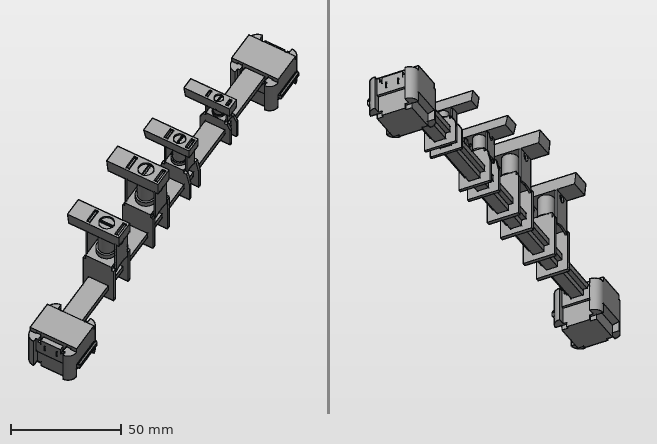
import cadquery as cq

overall_length = 204.29
bar_head_width = 10.4
bar_stem_width = 5.7
bar_bottom = 14.15
bar_mid = 17.2
bar_top = 20.3

foot_half = 12.25
lid_half_depth = 7.7
pillar_radius = foot_half - lid_half_depth
lid_top = 22.8
upper_panel_half = 10.15
lower_panel_half = 8.9
upper_panel_bottom = 11.1
pillar_bottom = 2.5
base_rib_half_width = 5.85
side_recess_bottom = 6.8
side_recess_top = 7.8
foot_y = overall_length / 2 - foot_half

latch_reach = 14.0
latch_lip = 13.25
latch_nose = 13.5
latch_bottom = 9.2
latch_bevel_top = 9.9
latch_shelf = 11.4
latch_shoulder = 11.8
latch_top = 12.6

bar_slot_half_width = 6.5
bar_slot_bottom = 18.3
stem_gap = 0.5
head_gap = 0.2
gap_depth = upper_panel_half - lid_half_depth
lid_notch_inner = 6.8
lid_notch_outer = 9.1
lid_notch_height = 0.6
lid_notch_depth = 1.0

frame_half_width = 8.0
frame_bottom = 11.0
cap_slot_depth = 3.0
strap_end_drop = 0.8
recess_depth = 1.0
driver_slot_depth = 1.0
screw_clearance = 0.4

small_clamp = dict(
    y=50.0, cap_width=6.15, cap_left=-16.6, cap_right=7.4, cap_slant=0.8, cap_bottom=31.3, cap_top=36.8,
    strap_width=4.3, strap_outer=5.75, strap_thickness=0.75, strap_bottom=23.9, arch_rise=0.9,
    slot_inner=4.6, slot_outer=5.85, slot_length=3.7, window_radius=0, window_drop=0,
    frame_depth=6.8, plate=1.25, frame_top=26.4, frame_neck=4.9, shoulder=(6.3, 24.9), slope_bottom=21.6,
    recess_radius=2.15, driver_slot=0.6, driver_angle=90, flange_radius=3.0, flange_height=1.2,
)
medium_clamp = dict(
    y=15.0, cap_width=8.0, cap_left=-16.6, cap_right=7.4, cap_slant=1.2, cap_bottom=40.5, cap_top=45.4,
    strap_width=6.8, strap_outer=5.9, strap_thickness=0.8, strap_bottom=27.0, arch_rise=1.5,
    slot_inner=4.6, slot_outer=6.5, slot_length=5.5, window_radius=1.55, window_drop=0.9,
    frame_depth=9.85, plate=1.5, frame_top=30.6, frame_neck=5.0, shoulder=(6.5, 28.8), slope_bottom=22.3,
    recess_radius=2.8, driver_slot=0.8, driver_angle=90, flange_radius=3.9, flange_height=1.8,
)
large_clamp = dict(
    y=-15.0, cap_width=9.85, cap_left=-17.8, cap_right=9.25, cap_slant=0.7, cap_bottom=49.1, cap_top=56.05,
    strap_width=9.85, strap_outer=8.0, strap_thickness=0.9, strap_bottom=30.6, arch_rise=1.3,
    slot_inner=6.5, slot_outer=8.3, slot_length=7.4, window_radius=1.85, window_drop=1.8,
    frame_depth=14.8, plate=1.85, frame_top=34.9, frame_neck=6.8, shoulder=(7.5, 33.1), slope_bottom=32.2,
    recess_radius=3.6, driver_slot=1.2, driver_angle=90, flange_radius=4.9, flange_height=2.6,
)
fixed_clamp = dict(
    large_clamp, y=-50.0, cap_top=55.3, strap_bottom=30.0, arch_rise=1.5,
    shoulder=(frame_half_width, 32.5), slope_bottom=32.5, driver_angle=0, window_drop=2.1,
)


def box(x_range, y_range, z_range):
    """Axis-aligned block between the given limits."""
    return (
        cq.Workplane("XY")
        .box(x_range[1] - x_range[0], y_range[1] - y_range[0], z_range[1] - z_range[0], centered=False)
        .translate((x_range[0], y_range[0], z_range[0]))
    )


def block(half_x, half_y, z_range):
    """Block centred on the Z axis."""
    return box((-half_x, half_x), (-half_y, half_y), z_range)


def extrude_along_y(outline, half_length):
    """Closed XZ outline extruded evenly to both sides of Y = 0."""
    return cq.Workplane("XZ").polyline(outline).close().extrude(half_length, both=True)


def bar_profile(half_length):
    """T-shaped busbar: a wide head over a narrower stem."""
    head = block(bar_head_width / 2, half_length, (bar_mid, bar_top))
    stem = block(bar_stem_width / 2, half_length, (bar_bottom, bar_mid))
    return head.union(stem)


def foot_core():
    core = block(foot_half, lid_half_depth, (side_recess_top, lid_top))
    slope = extrude_along_y(
        [
            (-lower_panel_half, side_recess_bottom),
            (lower_panel_half, side_recess_bottom),
            (foot_half, side_recess_top),
            (-foot_half, side_recess_top),
        ],
        lid_half_depth,
    )
    base = block(lower_panel_half, lid_half_depth, (0, side_recess_bottom))
    base_rib = block(base_rib_half_width, lower_panel_half, (0, pillar_bottom))
    lower_panel = block(lid_half_depth, lower_panel_half, (pillar_bottom, upper_panel_bottom))
    upper_panel = block(lid_half_depth, upper_panel_half, (upper_panel_bottom, bar_top))
    return core.union(slope).union(base).union(base_rib).union(lower_panel).union(upper_panel)


def corner_pillar(side_x, side_y):
    """Quarter-round pillar outside one corner of the foot."""
    quarter = (
        cq.Workplane("XY")
        .workplane(offset=pillar_bottom)
        .circle(pillar_radius)
        .extrude(bar_top - pillar_bottom)
        .intersect(box((0, pillar_radius), (0, pillar_radius), (pillar_bottom, bar_top)))
    )
    if side_x < 0:
        quarter = quarter.mirror("YZ")
    if side_y < 0:
        quarter = quarter.mirror("XZ")
    return quarter.translate((side_x * lid_half_depth, side_y * lid_half_depth, 0))


def latch():
    """Upturned hook along the +X side."""
    return extrude_along_y(
        [
            (foot_half, latch_bottom),
            (latch_nose, latch_bottom),
            (latch_reach, latch_bevel_top),
            (latch_reach, latch_shoulder),
            (latch_lip, latch_top),
            (latch_lip, latch_shelf),
            (foot_half, latch_shelf),
        ],
        lid_half_depth,
    )


def bar_entry_cuts(side_x, side_y):
    """Slots beside the bar in one end panel, and the small notch under the lid edge."""
    head_edge = bar_head_width / 2
    stem_edge = bar_stem_width / 2
    panel = (upper_panel_half - gap_depth, upper_panel_half)
    lid_edge = (lid_half_depth - lid_notch_depth, lid_half_depth)
    cuts = (
        box((head_edge, bar_slot_half_width), panel, (bar_slot_bottom, bar_top))
        .union(box((head_edge, head_edge + head_gap), panel, (bar_mid, bar_slot_bottom)))
        .union(box((stem_edge, stem_edge + stem_gap), panel, (bar_bottom, bar_mid)))
        .union(box((lid_notch_inner, lid_notch_outer), lid_edge, (bar_top, bar_top + lid_notch_height)))
    )
    if side_x < 0:
        cuts = cuts.mirror("YZ")
    if side_y < 0:
        cuts = cuts.mirror("XZ")
    return cuts


def make_foot():
    foot = foot_core().union(latch())
    for side_x in (-1, 1):
        for side_y in (-1, 1):
            foot = foot.union(corner_pillar(side_x, side_y))
            foot = foot.cut(bar_entry_cuts(side_x, side_y))
    return foot


def clamp_frame(c):
    """Inverted U of two plates around the bar, joined by a web at the top."""
    shoulder_x, shoulder_z = c["shoulder"]
    right_edge = [(frame_half_width, frame_bottom), (frame_half_width, c["slope_bottom"])]
    if shoulder_z > c["slope_bottom"]:
        right_edge.append((shoulder_x, shoulder_z))
    right_edge += [(c["frame_neck"], shoulder_z), (c["frame_neck"], c["frame_top"])]
    left_edge = [(-x, z) for x, z in reversed(right_edge)]
    half_depth = c["frame_depth"] / 2
    frame = extrude_along_y(right_edge + left_edge, half_depth)
    opening = block(
        frame_half_width, half_depth - c["plate"], (frame_bottom, c["frame_top"] - c["plate"])
    )
    shoulder_clearance = block(frame_half_width, half_depth - c["plate"], (frame_bottom, c["frame_top"])).cut(
        block(c["frame_neck"], half_depth, (frame_bottom, c["frame_top"]))
    )
    return frame.cut(opening).cut(shoulder_clearance).cut(bar_profile(half_depth))


def clamp_straps(c):
    """Two side straps under the cap, arched at the lower end, with a round window."""
    half = c["strap_width"] / 2
    top = c["cap_top"] - strap_end_drop
    straps = (
        cq.Workplane("YZ")
        .moveTo(-half, top)
        .lineTo(-half, c["strap_bottom"])
        .threePointArc((0, c["strap_bottom"] + c["arch_rise"]), (half, c["strap_bottom"]))
        .lineTo(half, top)
        .close()
        .extrude(c["strap_outer"], both=True)
    )
    between = block(c["strap_outer"] - c["strap_thickness"], half, (frame_bottom, c["cap_top"]))
    straps = straps.cut(between)
    if c["window_radius"] > 0:
        window = (
            cq.Workplane("YZ")
            .center(0, c["cap_bottom"] - c["window_drop"])
            .circle(c["window_radius"])
            .extrude(c["strap_outer"], both=True)
        )
        straps = straps.cut(window)
    end_sides = block(c["strap_outer"], half, (c["cap_bottom"], top)).cut(
        block(c["strap_outer"], c["slot_length"] / 2, (c["cap_bottom"], top))
    )
    return straps.cut(end_sides)


def clamp_cap(c):
    """Marker block on top, with a slanted free end and two slots for the straps."""
    cap = extrude_along_y(
        [
            (c["cap_left"], c["cap_top"]),
            (c["cap_right"], c["cap_top"]),
            (c["cap_right"], c["cap_bottom"]),
            (c["cap_left"] + c["cap_slant"], c["cap_bottom"]),
        ],
        c["cap_width"] / 2,
    )
    slot_width = c["slot_outer"] - c["slot_inner"]
    slots = (
        cq.Workplane("XY")
        .workplane(offset=c["cap_top"] - cap_slot_depth)
        .pushPoints([(side * (c["slot_inner"] + slot_width / 2), 0) for side in (-1, 1)])
        .rect(slot_width, c["slot_length"])
        .extrude(cap_slot_depth)
    )
    return cap.cut(slots)


def disc(radius, bottom, top):
    return cq.Workplane("XY").workplane(offset=bottom).circle(radius).extrude(top - bottom)


def clamp_screw(c):
    """Shaft from the cap down to the frame, with a flange at its foot."""
    shaft = disc(c["recess_radius"] + screw_clearance, c["frame_top"], c["cap_bottom"])
    flange = disc(c["flange_radius"], c["frame_top"], c["frame_top"] + c["flange_height"])
    return shaft.union(flange)


def screw_head_cut(c):
    """Round recess in the cap with the driver slot across its floor."""
    floor = c["cap_top"] - recess_depth
    driver_slot = (
        block(c["recess_radius"], c["driver_slot"] / 2, (floor - driver_slot_depth, floor))
        .rotate((0, 0, 0), (0, 0, 1), c["driver_angle"])
    )
    return disc(c["recess_radius"], floor, c["cap_top"]).union(driver_slot)


def make_clamp(c):
    clamp = clamp_cap(c).cut(screw_head_cut(c))
    for piece in (clamp_straps(c), clamp_screw(c), clamp_frame(c)):
        clamp = clamp.union(piece)
    return clamp.translate((0, c["y"], 0))


def make_rail():
    rail = bar_profile(foot_y + upper_panel_half)
    for side in (-1, 1):
        rail = rail.union(make_foot().translate((0, side * foot_y, 0)))
    return rail.union(make_clamp(fixed_clamp))


rail = make_rail()

movable_clamps = [make_clamp(size) for size in (small_clamp, medium_clamp, large_clamp)]

result = cq.Compound.makeCompound([rail.val(), *[clamp.val() for clamp in movable_clamps]])